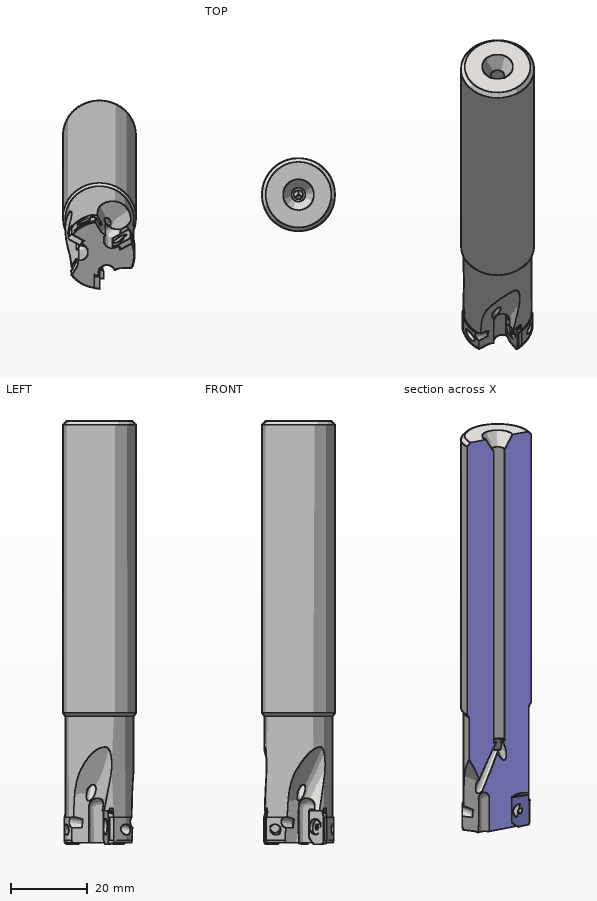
import cadquery as cq
import math


TOOL_LENGTH = 110.07
SHANK_RADIUS = 19.05 / 2
SHANK_CHAMFER = 1.0
SHOULDER_BOTTOM = 33.3
NECK_RADIUS = 8.9
SHOULDER_HEIGHT = 0.9
BODY_BOTTOM = 0.4
HEAD_RADIUS = 9.2
HEAD_TOP = 7.0
HEAD_CHAMFER_WIDTH = 0.25
HEAD_CHAMFER_HEIGHT = 0.7

CENTRE_RADIUS = 4.0
BORE_RADIUS = 1.8
CENTRE_HALF_ANGLE = math.radians(30)
BRANCH_START = 25.0
BRANCH_RADIUS = 1.1
BRANCH_EXIT = (4.0, -3.1, 14.7)
BRANCH_OVERRUN = 1.35

TOOTH_ANGLES = [75, 195, 315]
CLEARANCE = 15.0

FLUTE_FLOOR = 4.1
FLUTE_FLOOR_ANGLE = math.radians(3)
FLUTE_ARC_START = 10.0
FLUTE_ARC_RADIUS = 24.0
FLUTE_RUNOUT_ANGLE = math.radians(23)
FLUTE_CORNER_RADIUS = 2.9
FLUTE_TILT = 11.0
FLUTE_WALL_Y = 0.5
FLUTE_PIVOT_Z = 17.0
PICK_MARGIN = 0.1

GROOVE_RADIUS = 2.2
GROOVE_X = 4.9
GROOVE_Y = -1.9
GROOVE_TOP = 12.0

RAKE_Y = -0.1
INSERT_THICKNESS = 1.5
CUTTING_RADIUS = 9.25
INSERT_INNER_X = 3.9
INSERT_OUTER_X = math.sqrt(CUTTING_RADIUS**2 - RAKE_Y**2)
INSERT_TOP = 8.8
RAKE_SPACE_X = 4.4
INSERT_TAPER = 7.0
NOSE_RADIUS = 0.8
EDGE_TOP = 7.0
EDGE_SETBACK = 0.45
HEEL_WIDTH = 1.8
HEEL_HEIGHT = 1.8
SEAT_RELIEF_RADIUS = 0.6

SCREW_RADIUS = 1.35
SCREW_HEAD_RADIUS = 2.0
SCREW_HEAD_DEPTH = 0.5
SOCKET_WIDTH = 1.6
SOCKET_DEPTH = 1.0
SCREW_ACCESS_RADIUS = 1.5
SCREW_ACCESS_START = 6.0
SCREW_X = 6.25
SCREW_Z = 4.6
SCREW_DIRECTION = cq.Vector(-0.25, -1.0, 0.14).normalized()


def screw_cylinder(radius, start, end):
    """Cylinder on the screw axis, from start to end measured outward from the rake face."""
    origin = cq.Vector(SCREW_X, RAKE_Y, SCREW_Z) + SCREW_DIRECTION * start
    return cq.Workplane(cq.Solid.makeCylinder(radius, end - start, origin, SCREW_DIRECTION))


def insert_blank():
    """Insert without its screw recess, tapering from the rake face back to the seat."""
    return (
        cq.Workplane("XZ", origin=(0, RAKE_Y, 0))
        .moveTo(INSERT_INNER_X, INSERT_TOP)
        .lineTo(INSERT_INNER_X, HEEL_HEIGHT)
        .lineTo(INSERT_INNER_X + HEEL_WIDTH, 0)
        .lineTo(INSERT_OUTER_X - NOSE_RADIUS, 0)
        .radiusArc((INSERT_OUTER_X, NOSE_RADIUS), -NOSE_RADIUS)
        .lineTo(INSERT_OUTER_X, EDGE_TOP)
        .lineTo(INSERT_OUTER_X - EDGE_SETBACK, INSERT_TOP)
        .close()
        .extrude(-INSERT_THICKNESS, taper=INSERT_TAPER)
    )


def cutting_insert():
    """Insert with a round screw recess and a hexagonal driver socket in its rake face."""
    recess = screw_cylinder(SCREW_HEAD_RADIUS, -SCREW_HEAD_DEPTH, CLEARANCE)
    rake_centre = cq.Vector(SCREW_X, RAKE_Y, SCREW_Z)
    socket_plane = cq.Plane(origin=rake_centre - SCREW_DIRECTION * SOCKET_DEPTH, normal=SCREW_DIRECTION)
    socket = cq.Workplane(socket_plane).polygon(6, SOCKET_WIDTH).extrude(SOCKET_DEPTH)
    return insert_blank().cut(recess).cut(socket)


def flute():
    """Chip flute with a rounded corner between floor and wall, tilted about the radial direction."""
    arc_rise = FLUTE_ARC_RADIUS * (math.sin(FLUTE_RUNOUT_ANGLE) - math.sin(FLUTE_FLOOR_ANGLE))
    arc_shift = FLUTE_ARC_RADIUS * (math.cos(FLUTE_FLOOR_ANGLE) - math.cos(FLUTE_RUNOUT_ANGLE))
    arc_end = (FLUTE_FLOOR + arc_shift, FLUTE_ARC_START + arc_rise)
    runout_rise = (CLEARANCE - arc_end[0]) / math.tan(FLUTE_RUNOUT_ANGLE)
    runout_top = arc_end[1] + runout_rise
    floor_drop = (FLUTE_ARC_START + CLEARANCE) * math.tan(FLUTE_FLOOR_ANGLE)
    cutter = (
        cq.Workplane("XZ")
        .moveTo(FLUTE_FLOOR - floor_drop, -CLEARANCE)
        .lineTo(FLUTE_FLOOR, FLUTE_ARC_START)
        .radiusArc(arc_end, FLUTE_ARC_RADIUS)
        .lineTo(CLEARANCE, runout_top)
        .lineTo(CLEARANCE, -CLEARANCE)
        .close()
        .extrude(CLEARANCE)
    )
    box_low = (0, -PICK_MARGIN, PICK_MARGIN - CLEARANCE)
    box_high = (CLEARANCE - PICK_MARGIN, PICK_MARGIN, runout_top)
    floor_edges = cq.selectors.BoxSelector(box_low, box_high)
    cutter = cutter.edges(floor_edges).fillet(FLUTE_CORNER_RADIUS)
    tilted = cutter.rotate((0, 0, FLUTE_PIVOT_Z), (1, 0, FLUTE_PIVOT_Z), -FLUTE_TILT)
    return tilted.translate((0, FLUTE_WALL_Y, 0))


def rake_space():
    """Open space in front of the rake face."""
    space = cq.Workplane("XY").box(CLEARANCE, CLEARANCE, INSERT_TOP + CLEARANCE, centered=False)
    return space.translate((RAKE_SPACE_X, RAKE_Y - CLEARANCE, -CLEARANCE))


def seat_relief():
    """Round relief along the top edge of the insert seat."""
    start = cq.Vector(INSERT_INNER_X, RAKE_Y + INSERT_THICKNESS - SEAT_RELIEF_RADIUS, INSERT_TOP)
    return cq.Workplane(cq.Solid.makeCylinder(SEAT_RELIEF_RADIUS, CLEARANCE, start, cq.Vector(1, 0, 0)))


def ball_groove():
    ball_z = GROOVE_TOP - GROOVE_RADIUS
    groove = cq.Workplane("XY").circle(GROOVE_RADIUS).extrude(ball_z)
    ball = cq.Workplane("XY").sphere(GROOVE_RADIUS).translate((0, 0, ball_z))
    return groove.union(ball).translate((GROOVE_X, GROOVE_Y, 0))


def coolant_branch():
    start = cq.Vector(0, 0, BRANCH_START)
    run = cq.Vector(*BRANCH_EXIT) - start
    length = run.Length * BRANCH_OVERRUN
    return cq.Workplane(cq.Solid.makeCylinder(BRANCH_RADIUS, length, start, run))


def turned_blank():
    """Shank, neck and head with the centre hole and coolant bore, turned about Z."""
    shoulder_top = SHOULDER_BOTTOM + SHOULDER_HEIGHT
    centre_depth = (CENTRE_RADIUS - BORE_RADIUS) / math.tan(CENTRE_HALF_ANGLE)
    profile = [
        (0, BODY_BOTTOM),
        (HEAD_RADIUS - HEAD_CHAMFER_WIDTH, BODY_BOTTOM),
        (HEAD_RADIUS, BODY_BOTTOM + HEAD_CHAMFER_HEIGHT),
        (HEAD_RADIUS, HEAD_TOP),
        (NECK_RADIUS, HEAD_TOP),
        (NECK_RADIUS, SHOULDER_BOTTOM),
        (SHANK_RADIUS, shoulder_top),
        (SHANK_RADIUS, TOOL_LENGTH - SHANK_CHAMFER),
        (SHANK_RADIUS - SHANK_CHAMFER, TOOL_LENGTH),
        (CENTRE_RADIUS, TOOL_LENGTH),
        (BORE_RADIUS, TOOL_LENGTH - centre_depth),
        (BORE_RADIUS, BRANCH_START),
        (0, BRANCH_START),
    ]
    return cq.Workplane("XZ").polyline(profile).close().revolve(360, (0, 0), (0, 1))


def place(tooth_part, angle):
    return tooth_part.rotate((0, 0, 0), (0, 0, 1), angle)


cutter_body = turned_blank()
tooth_cutters = [
    flute(),
    rake_space(),
    ball_groove(),
    insert_blank(),
    seat_relief(),
    coolant_branch(),
    screw_cylinder(SCREW_RADIUS, -CLEARANCE, 0),
    screw_cylinder(SCREW_ACCESS_RADIUS, SCREW_ACCESS_START, CLEARANCE),
]
for angle in TOOTH_ANGLES:
    for cutter in tooth_cutters:
        cutter_body = cutter_body.cut(place(cutter, angle))

inserts = [place(cutting_insert(), angle) for angle in TOOTH_ANGLES]

result = cq.Compound.makeCompound([cutter_body.val()] + [insert.val() for insert in inserts])